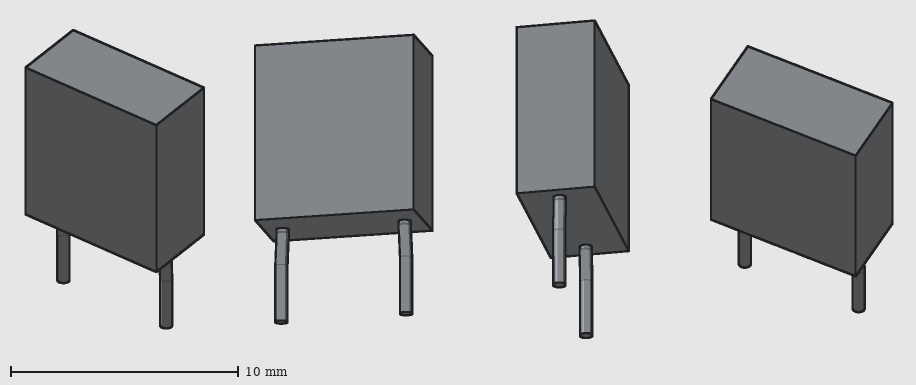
import cadquery as cq

total_height = 12.22
body_width = 7.19
body_depth = 3.51
body_height = 7.99

lead_diameter = 0.55
upper_offset = 2.76
lower_offset = 2.82
bend_start = 0.16
bend_length = 0.05
slant_end = 1.66

lead_length = total_height - body_height
bend_end = bend_start + bend_length
half_bend = bend_length / 2
slant_length = slant_end - bend_end
bend_shift = (lower_offset - upper_offset) * half_bend / (half_bend + slant_length)


def make_body():
    """Rectangular block standing on the XY plane."""
    return cq.Workplane("XY").box(body_width, body_depth, body_height, centered=(True, True, False))


def lead_section(offset, depth, end_offset, end_depth):
    """Round stretch of a lead joining two horizontal circles below the body."""
    return (
        cq.Workplane("XY", origin=(offset, 0, -depth))
        .circle(lead_diameter / 2)
        .workplane(offset=depth - end_depth)
        .center(end_offset - offset, 0)
        .circle(lead_diameter / 2)
        .loft(ruled=True)
    )


def make_lead(side):
    """Splayed lead on the -X side (side = -1) or the +X side (side = 1)."""
    stations = [
        (upper_offset, 0),
        (upper_offset, bend_start),
        (upper_offset + bend_shift, bend_end),
        (lower_offset, slant_end),
        (lower_offset, lead_length),
    ]
    lead = cq.Workplane("XY")
    for (offset, depth), (end_offset, end_depth) in zip(stations, stations[1:]):
        section = lead_section(side * offset, depth, side * end_offset, end_depth)
        lead = lead.add(section)
    return lead.combine().solids()


body = make_body()
leads = [make_lead(side) for side in (-1, 1)]

result = cq.Compound.makeCompound([body.val(), *[lead.val() for lead in leads]])